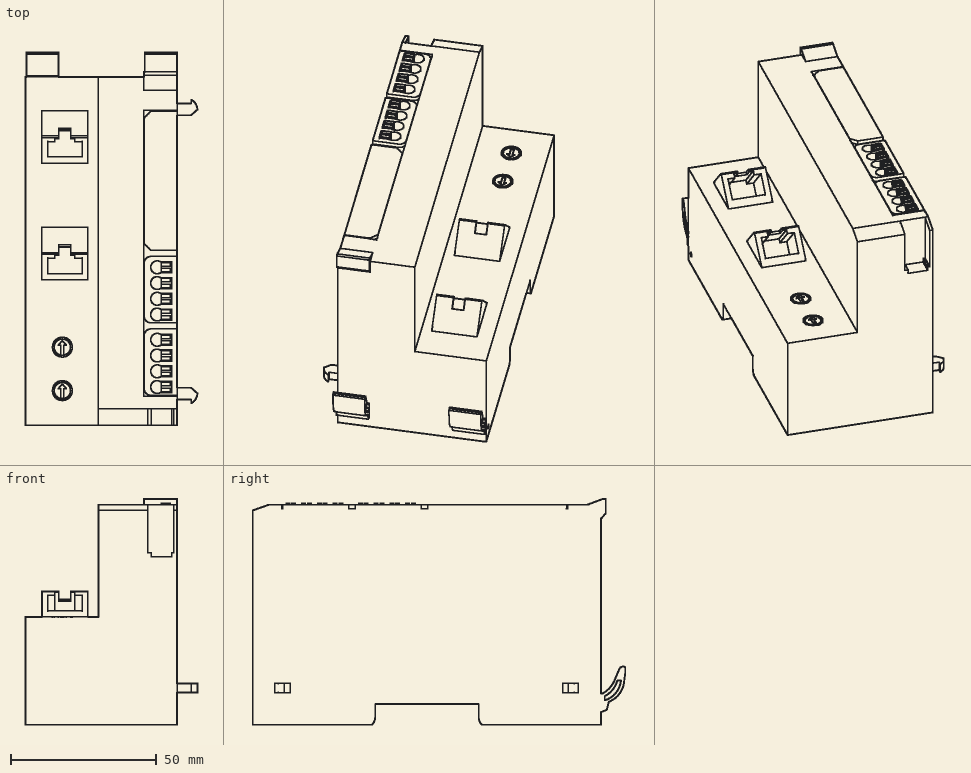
import cadquery as cq
import math

HOUSING_WIDTH = 52.0
HOUSING_LENGTH = 119.5
HOUSING_HEIGHT = 75.5
STEP_WIDTH = 25.0
STEP_HEIGHT = 37.0
FRONT_BEVEL_LENGTH = 5.7
FRONT_BEVEL_DROP = 2.0

RAIL_FRONT_Y = 42.1
RAIL_WIDTH = 35.4
RAIL_DEPTH = 7.1
RAIL_FLARE = 1.1
RAIL_FLARE_HEIGHT = 2.7

EDGE_RECESS_LEFT = 41.95
EDGE_RECESS_RIGHT = 50.85
EDGE_RECESS_FLOOR = 59.0
EDGE_RECESS_STEP = 1.4
EDGE_RECESS_LEFT_LEDGE = 1.15
EDGE_RECESS_RIGHT_LEDGE = 0.7

BAY_LEFT = 40.6
TAB_REAR_Y = HOUSING_LENGTH + 1.65
TAB_TOP_Z = 77.45
TAB_FLAT_LENGTH = 1.1
TAB_SLOPE_LENGTH = 5.2
TAB_LOWER_Z = 72.5
TAB_ROOT_Z = 70.6

BAY_FRONT_Y = 10.0
BAY_REAR_Y = 108.0
BAY_DEPTH = 1.5
MODULE_CLEARANCE = 0.3
MODULE_SIDE_GAP = 0.1
MODULE_SPACING = 2.1
MODULE_CORNER = 2.3
TERMINAL_MODULE_LENGTH = 22.75
TERMINAL_MODULE_COUNT = 2

TERMINALS_PER_MODULE = 4
TERMINAL_PITCH = 5.4
TERMINAL_ROW_SHIFT = -0.45
WIRE_HOLE_X = 45.15
WIRE_HOLE_RADIUS = 2.2
WIRE_HOLE_DEPTH = 5.0
CLAMP_LEFT = 46.6
CLAMP_RIGHT = 50.1
CLAMP_WIDTH = 3.8
CLAMP_DEPTH = 1.0
RIDGE_WIDTH = 1.2
RIDGE_OFFSET = 1.0
RIDGE_RISE = 0.4
RIDGE_END_GAP = 0.4

SOCKET_CENTRE_X = 13.5
SOCKET_WIDTH = 15.8
SOCKET_PEAK = 9.0
SOCKET_CREST_TRIM = 0.3
SOCKET_CENTRES_Y = (58.9, 98.9)
PORT_DEPTH = 12.7
PORT_WIDTH = 11.8
PORT_SHOULDER_WIDTH = 6.9
PORT_KEY_WIDTH = 4.0
PORT_BOTTOM_MARGIN = 3.0
PORT_TOP_MARGIN = 2.3
PORT_SHOULDER_MARGIN = 0.9
PORT_KEY_DEPTH = 4.25

SWITCH_X = 12.65
SWITCH_CENTRES_Y = (11.9, 26.8)
SWITCH_RING_RADIUS = 3.4
SWITCH_RING_WIDTH = 0.6
SWITCH_DEPTH = 0.8
ARROW_SHAFT_WIDTH = 1.1
ARROW_HEAD_WIDTH = 2.8
ARROW_TAIL = -2.7
ARROW_NECK = 0.7
ARROW_TIP = 2.2

LEVER_WIDTH = 11.1
LEVER_LEFT_EDGES = (0.3, HOUSING_WIDTH - LEVER_WIDTH)
LEVER_REAR_Y = 127.88
LEVER_EMBED = 0.5
LEVER_ROOT_BOTTOM_Z = 4.3
LEVER_TIP_LOWER_Z = 18.1
LEVER_TIP_UPPER_Z = 19.7
LEVER_HEEL = (121.5, 5.1)
LEVER_BACK_START = (122.2, 7.85)
LEVER_BACK_MIDDLE = (125.8, 10.6)
LEVER_BACK_END = (127.5, 15.2)
LEVER_TIP_CROWN = (127.3, 20.0)
LEVER_TIP_ROUND = (126.3, 19.75)
LEVER_TIP_INNER = (125.6, 18.8)
LEVER_BELLY_START = (123.9, 14.8)
LEVER_BELLY_MIDDLE = (122.3, 12.5)
LEVER_BELLY_END = (119.9, 10.7)
LEVER_SLOT_BACK = ((120.8, 8.4), (124.5, 10.9), (126.3, 15.1))
LEVER_SLOT_BELLY = ((125.1, 15.1), (123.5, 12.0), (120.8, 9.8))
PIVOT_Y = 116.15
PIVOT_Z = 4.1
PIVOT_RADIUS = 0.75
PIVOT_DEPTH = 1.0

HOOK_BOTTOM_Z = 11.0
HOOK_HEIGHT = 3.2
HOOK_LENGTH = 7.0
HOOK_SHANK_LENGTH = 4.8
HOOK_SHANK_WIDTH = 4.05
HOOK_BARB = 1.3
HOOK_NOSE_OFFSET = 1.95
HOOK_ROUND_LENGTH = 1.5
FRONT_HOOK_Y = 12.9
REAR_HOOK_Y = 106.3


def box(x0, x1, y0, y1, z0, z1):
    return cq.Workplane("XY").box(x1 - x0, y1 - y0, z1 - z0, centered=False).translate((x0, y0, z0))


def side_profile(points, x0, x1):
    """Extrude a closed (Y, Z) outline from x0 to x1."""
    return cq.Workplane("YZ").polyline(points).close().extrude(x1 - x0).translate((x0, 0, 0))


def make_housing():
    base = box(0, HOUSING_WIDTH, 0, HOUSING_LENGTH, 0, STEP_HEIGHT)
    tower_outline = [
        (0, 0),
        (0, HOUSING_HEIGHT - FRONT_BEVEL_DROP),
        (FRONT_BEVEL_LENGTH, HOUSING_HEIGHT),
        (HOUSING_LENGTH, HOUSING_HEIGHT),
        (HOUSING_LENGTH, 0),
    ]
    return base.union(side_profile(tower_outline, STEP_WIDTH, HOUSING_WIDTH))


def make_rail_notch():
    """Straight-sided notch whose walls flare out to the underside in tangent arcs."""
    rear = RAIL_FRONT_Y + RAIL_WIDTH
    arc_radius = (RAIL_FLARE**2 + RAIL_FLARE_HEIGHT**2) / (2 * RAIL_FLARE)
    half_angle = math.asin(RAIL_FLARE_HEIGHT / arc_radius) / 2
    arc_offset = arc_radius * (1 - math.cos(half_angle))
    arc_height = RAIL_FLARE_HEIGHT - arc_radius * math.sin(half_angle)
    return (
        cq.Workplane("YZ")
        .moveTo(RAIL_FRONT_Y, RAIL_DEPTH)
        .lineTo(RAIL_FRONT_Y, RAIL_FLARE_HEIGHT)
        .threePointArc((RAIL_FRONT_Y - arc_offset, arc_height), (RAIL_FRONT_Y - RAIL_FLARE, 0))
        .lineTo(rear + RAIL_FLARE, 0)
        .threePointArc((rear + arc_offset, arc_height), (rear, RAIL_FLARE_HEIGHT))
        .lineTo(rear, RAIL_DEPTH)
        .close()
        .extrude(HOUSING_WIDTH)
    )


def make_edge_recess():
    wide = box(EDGE_RECESS_LEFT, EDGE_RECESS_RIGHT, 0, FRONT_BEVEL_LENGTH, EDGE_RECESS_FLOOR, HOUSING_HEIGHT)
    narrow = box(
        EDGE_RECESS_LEFT + EDGE_RECESS_LEFT_LEDGE,
        EDGE_RECESS_RIGHT - EDGE_RECESS_RIGHT_LEDGE,
        0,
        FRONT_BEVEL_LENGTH,
        EDGE_RECESS_FLOOR - EDGE_RECESS_STEP,
        HOUSING_HEIGHT,
    )
    return wide.union(narrow)


def make_latch_tab():
    flat_end = TAB_REAR_Y - TAB_FLAT_LENGTH
    slope_end = flat_end - TAB_SLOPE_LENGTH
    outline = [
        (TAB_REAR_Y, TAB_LOWER_Z),
        (TAB_REAR_Y, TAB_TOP_Z),
        (flat_end, TAB_TOP_Z),
        (slope_end, HOUSING_HEIGHT),
        (slope_end, TAB_ROOT_Z),
        (HOUSING_LENGTH, TAB_ROOT_Z),
    ]
    return side_profile(outline, BAY_LEFT, HOUSING_WIDTH)


def make_module(front_y, rear_y):
    return box(
        BAY_LEFT + MODULE_SIDE_GAP, HOUSING_WIDTH, front_y, rear_y, HOUSING_HEIGHT - BAY_DEPTH, HOUSING_HEIGHT
    )


def cut_terminal(body, y):
    """Cut a wire hole and clamp pocket, then add the two clamp ridges standing proud of the top."""
    hole = (
        cq.Workplane("XY", origin=(WIRE_HOLE_X, y, HOUSING_HEIGHT))
        .circle(WIRE_HOLE_RADIUS)
        .extrude(-WIRE_HOLE_DEPTH)
        .intersect(
            box(0, CLAMP_LEFT, y - WIRE_HOLE_RADIUS, y + WIRE_HOLE_RADIUS, 0, HOUSING_HEIGHT)
        )
    )
    half_width = CLAMP_WIDTH / 2
    pocket_floor = HOUSING_HEIGHT - CLAMP_DEPTH
    pocket = box(CLAMP_LEFT, CLAMP_RIGHT, y - half_width, y + half_width, pocket_floor, HOUSING_HEIGHT)
    body = body.cut(hole).cut(pocket)
    for side in (-1, 1):
        ridge_y = y + side * RIDGE_OFFSET
        ridge = box(
            CLAMP_LEFT,
            CLAMP_RIGHT - RIDGE_END_GAP,
            ridge_y - RIDGE_WIDTH / 2,
            ridge_y + RIDGE_WIDTH / 2,
            pocket_floor,
            HOUSING_HEIGHT + RIDGE_RISE,
        )
        body = body.union(ridge)
    return body


def add_modules(body):
    bay = box(
        BAY_LEFT, HOUSING_WIDTH, BAY_FRONT_Y, BAY_REAR_Y, HOUSING_HEIGHT - BAY_DEPTH, HOUSING_HEIGHT
    )
    body = body.cut(bay)
    front_y = BAY_FRONT_Y + MODULE_CLEARANCE
    for _ in range(TERMINAL_MODULE_COUNT):
        rear_y = front_y + TERMINAL_MODULE_LENGTH
        module = make_module(front_y, rear_y).edges("|Z and <X").fillet(MODULE_CORNER)
        body = body.union(module)
        row_length = TERMINAL_PITCH * (TERMINALS_PER_MODULE - 1)
        first_y = (front_y + rear_y - row_length) / 2 + TERMINAL_ROW_SHIFT
        for index in range(TERMINALS_PER_MODULE):
            body = cut_terminal(body, first_y + index * TERMINAL_PITCH)
        front_y = rear_y + MODULE_SPACING
    cover = make_module(front_y, BAY_REAR_Y - MODULE_CLEARANCE).edges("|Z and <X").chamfer(MODULE_CORNER)
    return body.union(cover)


def add_socket(body, centre_y):
    """Add a flat-crested 45 degree wedge and sink a stepped, keyed port square to its front slope."""
    crest_z = STEP_HEIGHT + SOCKET_PEAK - SOCKET_CREST_TRIM
    wedge_outline = [
        (centre_y - SOCKET_PEAK, STEP_HEIGHT),
        (centre_y - SOCKET_CREST_TRIM, crest_z),
        (centre_y + SOCKET_CREST_TRIM, crest_z),
        (centre_y + SOCKET_PEAK, STEP_HEIGHT),
    ]
    half_width = SOCKET_WIDTH / 2
    wedge = side_profile(wedge_outline, SOCKET_CENTRE_X - half_width, SOCKET_CENTRE_X + half_width)

    slope = cq.Plane(
        origin=(SOCKET_CENTRE_X, centre_y - SOCKET_PEAK, STEP_HEIGHT), xDir=(1, 0, 0), normal=(0, -1, 1)
    )
    slope_length = SOCKET_PEAK * math.sqrt(2)

    def port_part(width, top_margin, depth):
        height = slope_length - top_margin - PORT_BOTTOM_MARGIN
        return (
            cq.Workplane(slope)
            .center(0, PORT_BOTTOM_MARGIN + height / 2)
            .rect(width, height)
            .extrude(-depth)
        )

    body = body.union(wedge)
    body = body.cut(port_part(PORT_WIDTH, PORT_TOP_MARGIN, PORT_DEPTH))
    body = body.cut(port_part(PORT_SHOULDER_WIDTH, PORT_SHOULDER_MARGIN, PORT_DEPTH))
    return body.cut(port_part(PORT_KEY_WIDTH, 0, PORT_KEY_DEPTH))


def make_switch_cut(y):
    face = cq.Workplane("XY", origin=(SWITCH_X, y, STEP_HEIGHT))
    ring = (
        face.circle(SWITCH_RING_RADIUS)
        .circle(SWITCH_RING_RADIUS - SWITCH_RING_WIDTH)
        .extrude(-SWITCH_DEPTH)
    )
    shaft = ARROW_SHAFT_WIDTH / 2
    head = ARROW_HEAD_WIDTH / 2
    arrow_outline = [
        (-shaft, ARROW_TAIL),
        (shaft, ARROW_TAIL),
        (shaft, ARROW_NECK),
        (head, ARROW_NECK),
        (0, ARROW_TIP),
        (-head, ARROW_NECK),
        (-shaft, ARROW_NECK),
    ]
    arrow = face.polyline(arrow_outline).close().extrude(-SWITCH_DEPTH)
    return ring.union(arrow)


def make_lever(left_x):
    """Curved finger lever with a curved slot through its middle, rooted in the rear wall."""
    root_y = HOUSING_LENGTH - LEVER_EMBED
    blade = (
        cq.Workplane("YZ")
        .moveTo(root_y, LEVER_ROOT_BOTTOM_Z)
        .lineTo(HOUSING_LENGTH, LEVER_ROOT_BOTTOM_Z)
        .lineTo(*LEVER_HEEL)
        .lineTo(*LEVER_BACK_START)
        .threePointArc(LEVER_BACK_MIDDLE, LEVER_BACK_END)
        .lineTo(LEVER_REAR_Y, LEVER_TIP_LOWER_Z)
        .lineTo(LEVER_REAR_Y, LEVER_TIP_UPPER_Z)
        .lineTo(*LEVER_TIP_CROWN)
        .threePointArc(LEVER_TIP_ROUND, LEVER_TIP_INNER)
        .lineTo(*LEVER_BELLY_START)
        .threePointArc(LEVER_BELLY_MIDDLE, LEVER_BELLY_END)
        .lineTo(root_y, LEVER_BELLY_END[1])
        .close()
        .extrude(LEVER_WIDTH)
    )
    slot = (
        cq.Workplane("YZ")
        .moveTo(*LEVER_SLOT_BACK[0])
        .threePointArc(*LEVER_SLOT_BACK[1:])
        .lineTo(*LEVER_SLOT_BELLY[0])
        .threePointArc(*LEVER_SLOT_BELLY[1:])
        .close()
        .extrude(LEVER_WIDTH)
    )
    return blade.cut(slot).translate((left_x, 0, 0))


def make_hook(inner_y, barb_direction):
    """Side hook whose barb points along +Y (1) or -Y (-1); inner_y is its edge away from the barb."""
    barb_root_y = inner_y + barb_direction * HOOK_SHANK_WIDTH
    barb_y = barb_root_y + barb_direction * HOOK_BARB
    shank_end = HOUSING_WIDTH + HOOK_SHANK_LENGTH
    tip_x = HOUSING_WIDTH + HOOK_LENGTH
    nose_y = inner_y + barb_direction * HOOK_NOSE_OFFSET
    return (
        cq.Workplane("XY", origin=(0, 0, HOOK_BOTTOM_Z))
        .moveTo(HOUSING_WIDTH, inner_y)
        .lineTo(shank_end, inner_y)
        .lineTo(tip_x, nose_y)
        .threePointArc((shank_end + HOOK_ROUND_LENGTH, barb_root_y), (shank_end, barb_y))
        .lineTo(shank_end, barb_root_y)
        .lineTo(HOUSING_WIDTH, barb_root_y)
        .close()
        .extrude(HOOK_HEIGHT)
    )


def make_pivot_recess():
    return cq.Workplane("YZ").center(PIVOT_Y, PIVOT_Z).circle(PIVOT_RADIUS).extrude(PIVOT_DEPTH)


result = make_housing().cut(make_rail_notch()).cut(make_edge_recess()).union(make_latch_tab())
result = add_modules(result)
for socket_y in SOCKET_CENTRES_Y:
    result = add_socket(result, socket_y)
for switch_y in SWITCH_CENTRES_Y:
    result = result.cut(make_switch_cut(switch_y))
for lever_x in LEVER_LEFT_EDGES:
    result = result.union(make_lever(lever_x))
result = result.union(make_hook(FRONT_HOOK_Y, -1)).union(make_hook(REAR_HOOK_Y, 1))
result = result.cut(make_pivot_recess())